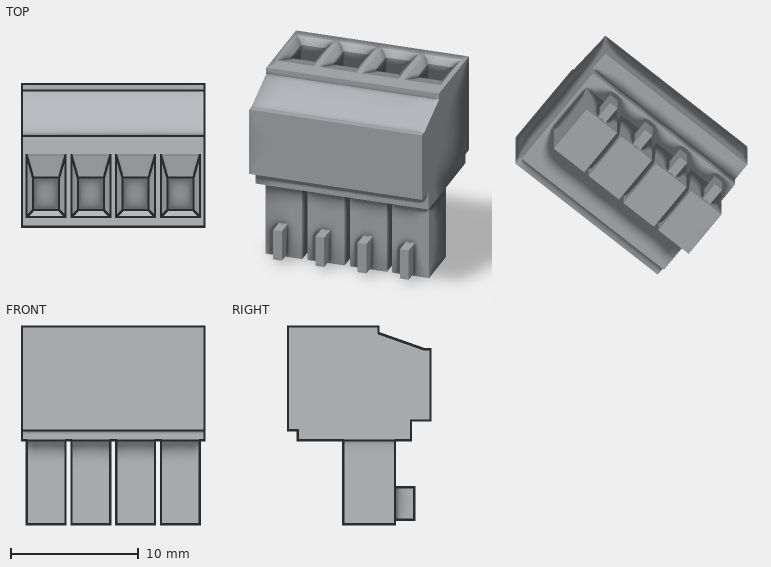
import cadquery as cq

pole_count = 4
pole_pitch = 3.5
pole_width = 3.05
housing_width = 14.3
housing_depth = 11.18
total_height = 15.49
plug_length = 6.58
housing_height = total_height - plug_length

front_step_depth = 0.77
front_step_height = 0.77
rear_step_depth = 1.54
rear_step_height = 1.54
top_depth = 7.11
ledge_drop = 0.53
rear_drop = 1.78
rear_flat_depth = 0.53

opening_front = 0.77
opening_depth = 4.86
well_front = 1.3
well_depth = 2.55
well_width = 2.04
taper_height = 0.51
well_drop = 1.53

prong_front = 4.32
prong_depth = 4.08
rib_width = 0.72
rib_projection = 1.5
rib_height = 2.55
rib_bottom_offset = 0.36


def make_housing():
    """Stepped block with a sloping rear shoulder, extruded along X."""
    profile = [
        (front_step_depth, 0),
        (housing_depth - rear_step_depth, 0),
        (housing_depth - rear_step_depth, rear_step_height),
        (housing_depth, rear_step_height),
        (housing_depth, housing_height - rear_drop),
        (housing_depth - rear_flat_depth, housing_height - rear_drop),
        (top_depth, housing_height - ledge_drop),
        (top_depth, housing_height),
        (0, housing_height),
        (0, front_step_height),
        (front_step_depth, front_step_height),
    ]
    return cq.Workplane("YZ").polyline(profile).close().extrude(housing_width / 2, both=True)


def box_at(center_x, front_y, bottom_z, width, depth, height):
    """Box centred on center_x, reaching back from front_y and up from bottom_z."""
    corner = (center_x - width / 2, front_y, bottom_z)
    return cq.Workplane("XY").box(width, depth, height, centered=False).translate(corner)


def make_opening(center_x):
    """Funnel tapering from the top face into a straight rectangular well."""
    opening_center_y = opening_front + opening_depth / 2
    well_center_y = well_front + well_depth / 2
    funnel = (
        cq.Workplane("XY", origin=(center_x, opening_center_y, housing_height))
        .rect(pole_width, opening_depth)
        .workplane(offset=-taper_height)
        .center(0, well_center_y - opening_center_y)
        .rect(well_width, well_depth)
        .loft(ruled=True)
    )
    well_bottom = housing_height - taper_height - well_drop
    well = box_at(center_x, well_front, well_bottom, well_width, well_depth, well_drop)
    return funnel.union(well)


def make_prong(center_x):
    """Rectangular prong with a short rib standing out from its rear face."""
    prong = box_at(center_x, prong_front, -plug_length, pole_width, prong_depth, plug_length)
    rib_bottom = rib_bottom_offset - plug_length
    rib_front = prong_front + prong_depth
    rib = box_at(center_x, rib_front, rib_bottom, rib_width, rib_projection, rib_height)
    return prong.union(rib)


result = make_housing()
for pole in range(pole_count):
    pole_x = (pole - (pole_count - 1) / 2) * pole_pitch
    result = result.cut(make_opening(pole_x)).union(make_prong(pole_x))